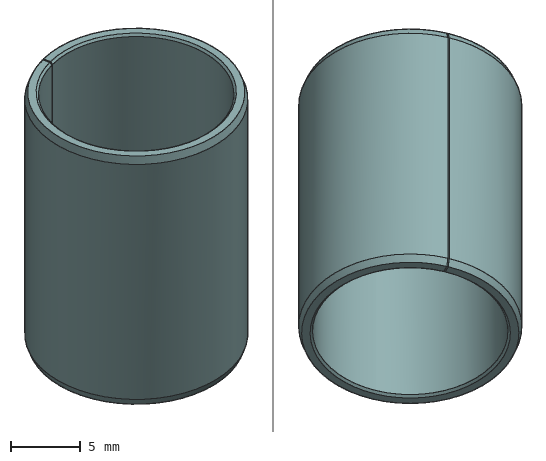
import cadquery as cq

length = 22.0
outer_diameter = 16.0
inner_diameter = 14.0
outer_chamfer_height = 0.6
outer_chamfer_depth = 0.22
inner_chamfer = 0.18
slit_width = 0.1

outer_radius = outer_diameter / 2
inner_radius = inner_diameter / 2
half_length = length / 2

bushing = (
    cq.Workplane("XZ")
    .moveTo(inner_radius, -half_length + inner_chamfer)
    .lineTo(inner_radius + inner_chamfer, -half_length)
    .lineTo(outer_radius - outer_chamfer_depth, -half_length)
    .lineTo(outer_radius, -half_length + outer_chamfer_height)
    .lineTo(outer_radius, half_length - outer_chamfer_height)
    .lineTo(outer_radius - outer_chamfer_depth, half_length)
    .lineTo(inner_radius + inner_chamfer, half_length)
    .lineTo(inner_radius, half_length - inner_chamfer)
    .close()
    .revolve(360, (0, 0, 0), (0, 1, 0))
)

slit = (
    cq.Workplane("XY")
    .box(outer_diameter, slit_width, length)
    .translate((-outer_radius, slit_width / 2, 0))
)

result = bushing.cut(slit)